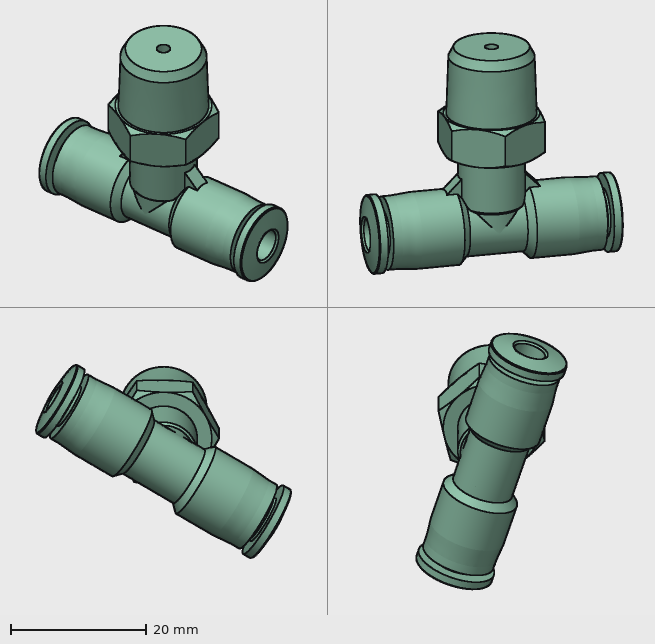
import cadquery as cq
import math

half_length = 19.2
collar_diameter = 11.8
collar_radius = collar_diameter / 2
collar_rim_x = 18.47
collar_rim_chamfer = 0.15
collar_back_x = 17.28
neck_radius = 3.38
neck_chamfer = 0.3
body_end_x = 16.35
body_end_radius = 5.5
taper_start_x = 14.95
taper_end_x = 12.0
body_diameter = 11.5
body_radius = body_diameter / 2
shoulder_x = 5.53
waist_radius = 4.6
waist_x = shoulder_x - (body_radius - waist_radius)

tube_bore_radius = 2.4
tube_bore_chamfer = 0.3
tube_stop_x = shoulder_x
flow_diameter = 2.0
flow_radius = flow_diameter / 2

stem_radius = 5.0
stem_end_z = 3.5
stem_end_chamfer = stem_radius - waist_radius

nut_bottom_z = 11.52
nut_top_z = 17.5
across_flats = 14.3
across_corners = across_flats / math.cos(math.pi / 6)
nut_chamfer_angle = math.radians(30)

plug_base_radius = 6.72
plug_upper_radius = 6.4
plug_chamfer_z = 26.55
plug_tip_radius = 5.65
overall_height = 33.9
plug_top_z = overall_height - collar_radius

gusset_width = 2.45
gusset_edge_sum = 12.75
gusset_overlap = 0.4


def make_run():
    """Revolve one end about X and mirror it to form the full run."""
    rim_radius = tube_bore_radius + tube_bore_chamfer
    end = (
        cq.Workplane("XY")
        .lineTo(0, waist_radius)
        .lineTo(-waist_x, waist_radius)
        .lineTo(-shoulder_x, body_radius)
        .lineTo(-taper_end_x, body_radius)
        .lineTo(-taper_start_x, body_end_radius)
        .lineTo(-body_end_x, body_end_radius)
        .lineTo(-body_end_x, neck_radius)
        .lineTo(-collar_back_x + neck_chamfer, neck_radius)
        .lineTo(-collar_back_x, neck_radius + neck_chamfer)
        .lineTo(-collar_back_x, collar_radius)
        .lineTo(-collar_rim_x, collar_radius)
        .lineTo(-collar_rim_x - collar_rim_chamfer, collar_radius - collar_rim_chamfer)
        .lineTo(-half_length, rim_radius)
        .lineTo(-half_length, 0)
        .close()
        .revolve(360, (0, 0, 0), (1, 0, 0))
    )
    return end.union(end.mirror("YZ"))


def make_stem():
    """Round stem, chamfered down to the waist radius where it meets the run."""
    return (
        cq.Workplane("XZ")
        .lineTo(waist_radius, 0)
        .lineTo(waist_radius, stem_end_z - stem_end_chamfer)
        .lineTo(stem_radius, stem_end_z)
        .lineTo(stem_radius, nut_bottom_z)
        .lineTo(0, nut_bottom_z)
        .close()
        .revolve(360, (0, 0, 0), (0, 1, 0))
    )


def make_nut():
    """Hexagon with corners on Y and conically chamfered ends."""
    hexagon = (
        cq.Workplane("XY", origin=(0, 0, nut_bottom_z))
        .transformed(rotate=(0, 0, 90))
        .polygon(6, across_corners)
        .extrude(nut_top_z - nut_bottom_z)
    )
    flat_radius = across_flats / 2
    corner_radius = across_corners / 2
    drop = (corner_radius - flat_radius) * math.tan(nut_chamfer_angle)
    envelope = (
        cq.Workplane("XZ")
        .moveTo(0, nut_bottom_z)
        .lineTo(flat_radius, nut_bottom_z)
        .lineTo(corner_radius, nut_bottom_z + drop)
        .lineTo(corner_radius, nut_top_z - drop)
        .lineTo(flat_radius, nut_top_z)
        .lineTo(0, nut_top_z)
        .close()
        .revolve(360, (0, 0, 0), (0, 1, 0))
    )
    return hexagon.intersect(envelope)


def make_plug():
    """Tapered plug with a chamfered tip."""
    return (
        cq.Workplane("XZ")
        .moveTo(0, nut_top_z)
        .lineTo(plug_base_radius, nut_top_z)
        .lineTo(plug_upper_radius, plug_chamfer_z)
        .lineTo(plug_tip_radius, plug_top_z)
        .lineTo(0, plug_top_z)
        .close()
        .revolve(360, (0, 0, 0), (0, 1, 0))
    )


def make_gussets():
    """Web whose two sloping edges show on either side of the stem."""
    base_z = waist_radius
    top_z = gusset_edge_sum - stem_radius + gusset_overlap
    base_x = gusset_edge_sum - base_z
    top_x = gusset_edge_sum - top_z
    return (
        cq.Workplane("XZ")
        .polyline([(-base_x, base_z), (base_x, base_z), (top_x, top_z), (-top_x, top_z)])
        .close()
        .extrude(gusset_width / 2, both=True)
    )


def make_tube_bore():
    """Tube socket with a chamfered mouth at the -X end."""
    return (
        cq.Workplane("XY")
        .moveTo(-tube_stop_x, 0)
        .lineTo(-tube_stop_x, tube_bore_radius)
        .lineTo(-half_length + tube_bore_chamfer, tube_bore_radius)
        .lineTo(-half_length, tube_bore_radius + tube_bore_chamfer)
        .lineTo(-half_length, 0)
        .close()
        .revolve(360, (0, 0, 0), (1, 0, 0))
    )


body = make_run().union(make_stem()).union(make_gussets()).union(make_nut()).union(make_plug())

tube_bore = make_tube_bore()
run_start = cq.Workplane("YZ", origin=(-half_length, 0, 0))
run_passage = run_start.circle(flow_radius).extrude(2 * half_length)
stem_passage = cq.Workplane("XY").circle(flow_radius).extrude(plug_top_z)

result = body.cut(tube_bore).cut(tube_bore.mirror("YZ")).cut(run_passage).cut(stem_passage)